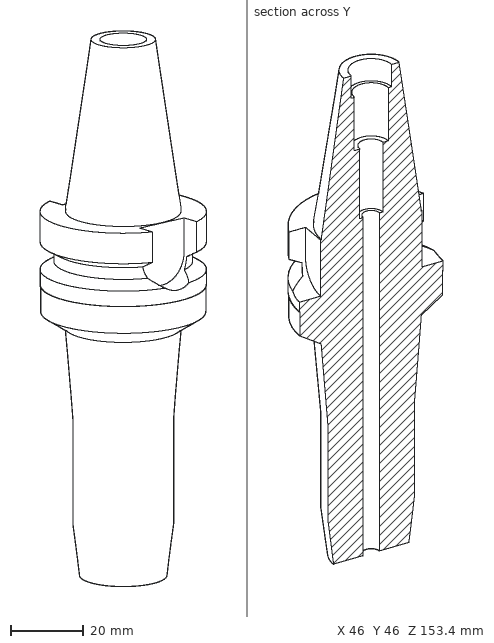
import cadquery as cq

total_height = 153.4
nose_top_z = 14.7
barrel_top_z = 44.8
neck_top_z = 71.0
collar_bottom_z = 75.5
collar_step_z = 83.1
collar_top_z = 87.6
groove_bottom_z = 89.9
groove_top_z = 93.3
flange_bottom_z = 95.4
flange_top_z = 104.2
taper_base_z = 105.2

nose_radius = 12.1
barrel_radius = 14.0
neck_radius = 16.1
collar_radius = 22.9
flange_radius = 23.0
groove_radius = 19.2
taper_base_radius = 16.0

taper_slope = 7 / 48
shank_top_radius = taper_base_radius - taper_slope * (total_height - taper_base_z)

slot_width = 16.3
slot_floor_x = 16.3
slot_bottom_z = 86.4

bore_steps = [(6.5, 7.0), (5.4, 24.0), (3.7, 46.0)]
through_radius = 2.6


def turned_body():
    """Revolve the outer half profile about Z."""
    half_profile = [
        (0, 0),
        (nose_radius, 0),
        (barrel_radius, nose_top_z),
        (barrel_radius, barrel_top_z),
        (neck_radius, neck_top_z),
        (collar_radius, collar_bottom_z),
        (collar_radius, collar_step_z),
        (flange_radius, collar_step_z),
        (flange_radius, collar_top_z),
        (groove_radius, groove_bottom_z),
        (groove_radius, groove_top_z),
        (flange_radius, flange_bottom_z),
        (flange_radius, flange_top_z),
        (taper_base_radius, flange_top_z),
        (taper_base_radius, taper_base_z),
        (shank_top_radius, total_height),
        (0, total_height),
    ]
    return cq.Workplane("XZ").polyline(half_profile).close().revolve(360, (0, 0), (0, 1))


def drive_slot(side):
    """Round-bottomed slot, open at the flange top, on the +X (1) or -X (-1) side."""
    half_width = slot_width / 2
    arc_center_z = slot_bottom_z + half_width
    return (
        cq.Workplane("YZ", origin=(side * slot_floor_x, 0, 0))
        .moveTo(-half_width, flange_top_z)
        .lineTo(-half_width, arc_center_z)
        .threePointArc((0, slot_bottom_z), (half_width, arc_center_z))
        .lineTo(half_width, flange_top_z)
        .close()
        .extrude(side * flange_radius)
    )


def bore(radius, depth):
    """Cylinder running down from the shank top."""
    return cq.Workplane("XY", origin=(0, 0, total_height - depth)).circle(radius).extrude(depth)


result = turned_body()
for side in (-1, 1):
    result = result.cut(drive_slot(side))
for step_radius, step_depth in bore_steps:
    result = result.cut(bore(step_radius, step_depth))
result = result.cut(bore(through_radius, total_height))